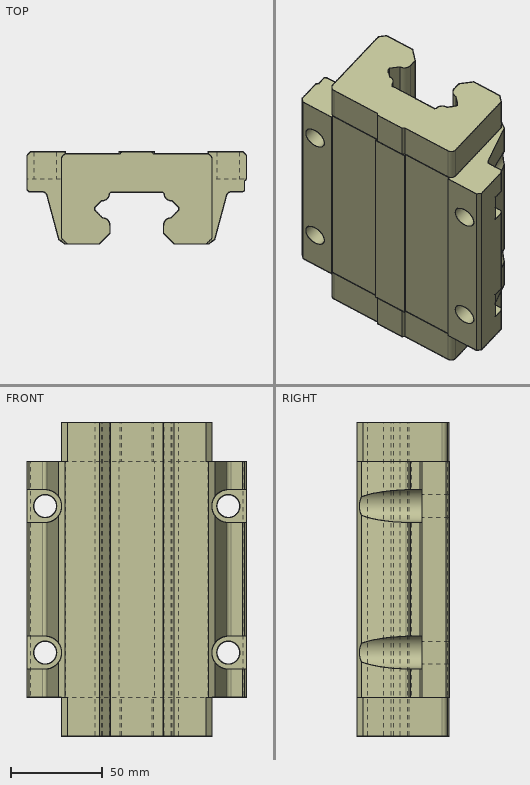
import cadquery as cq
import math


BLOCK_WIDTH = 120.0
BLOCK_HEIGHT = 50.5
TOTAL_LENGTH = 171.5
BODY_LENGTH = 128.8

HALF_WIDTH = BLOCK_WIDTH / 2
FLANGE_THICKNESS = 22.0
FLANGE_TOP_CHAMFER = 2.0
LEFT_FLANGE_CHAMFER = 1.2
RIGHT_FLANGE_CHAMFER_WIDTH = 1.2
RIGHT_FLANGE_CHAMFER_HEIGHT = 0.6
RIGHT_SIDE_SETBACK = 1.1
LEG_TOP_HALF_WIDTH = 49.6
LEG_BOTTOM_HALF_WIDTH = 42.6
LEG_FOOT_HALF_WIDTH = 39.2
LEG_CHAMFER_HEIGHT = 2.5
LEG_ROOT_RADIUS = 2.5

RELIEF_DEPTH = 1.0
CENTRE_PAD_HALF_WIDTH = 9.7
SIDE_PAD_INNER_X = 38.9

CAP_HALF_WIDTH = 41.1
CAP_TOP_DEPTH = 1.2
CAP_TOP_RADIUS = 3.0
CAP_FOOT_CHAMFER = 3.2
CAP_RIDGE_DEPTH = 0.2
CAP_RIDGE_BASE_HALF_WIDTH = 9.2
CAP_RIDGE_TOP_HALF_WIDTH = CAP_RIDGE_BASE_HALF_WIDTH - (CAP_TOP_DEPTH - CAP_RIDGE_DEPTH)

CHANNEL_TOP_DEPTH = 22.2
CHANNEL_TOP_BEVEL = 0.7
THROAT_HALF_WIDTH = 14.9
THROAT_RADIUS = 4.0
SHOULDER_DEPTH = 26.9
SHOULDER_END_HALF_WIDTH = 19.2
GROOVE_HALF_WIDTH = 22.8
GROOVE_TOP_DEPTH = 30.5
GROOVE_BOTTOM_DEPTH = 32.0
LIP_TOP_DEPTH = 36.1
LIP_HALF_WIDTH = 14.6
LIP_RADIUS = 4.1
MOUTH_CHAMFER = 5.8

HOLE_SPACING_X = 100.0
HOLE_SPACING_Z = 80.0
HOLE_DIAMETER = 12.4
SEAT_RADIUS = 9.0
SEAT_DEPTH = 15.0

CUT_MARGIN = 1.0


def mirror_points(points):
    """Mirror an outline about X = 0, keeping its sense of travel."""
    return [(-x, y) for x, y in reversed(points)]


def box_between(x_min, x_max, y_min, y_max, length):
    """Box spanning the given X and Y ranges, centred on Z = 0."""
    return (
        cq.Workplane("XY")
        .box(x_max - x_min, y_max - y_min, length)
        .translate(((x_min + x_max) / 2, (y_min + y_max) / 2, 0))
    )


def extrude_centred(outline, length):
    """Extrude a closed XY outline equally to both sides of Z = 0."""
    return outline.extrude(length / 2, both=True)


def make_body():
    """Flanged body with sloping legs and three raised mounting pads."""
    leg = [
        (LEG_TOP_HALF_WIDTH, -FLANGE_THICKNESS),
        (LEG_BOTTOM_HALF_WIDTH, LEG_CHAMFER_HEIGHT - BLOCK_HEIGHT),
        (LEG_FOOT_HALF_WIDTH, -BLOCK_HEIGHT),
    ]
    flange_top = [
        (HALF_WIDTH - FLANGE_TOP_CHAMFER, 0),
        (HALF_WIDTH, -FLANGE_TOP_CHAMFER),
    ]
    setback_x = HALF_WIDTH - RIGHT_SIDE_SETBACK
    right_flange_bottom = [
        (HALF_WIDTH, -SEAT_DEPTH),
        (setback_x, -SEAT_DEPTH - RIGHT_SIDE_SETBACK),
        (setback_x, RIGHT_FLANGE_CHAMFER_HEIGHT - FLANGE_THICKNESS),
        (setback_x - RIGHT_FLANGE_CHAMFER_WIDTH, -FLANGE_THICKNESS),
    ]
    mirrored_left_flange_bottom = [
        (HALF_WIDTH, LEFT_FLANGE_CHAMFER - FLANGE_THICKNESS),
        (HALF_WIDTH - LEFT_FLANGE_CHAMFER, -FLANGE_THICKNESS),
    ]
    right_side = flange_top + right_flange_bottom + leg
    left_side = mirror_points(flange_top + mirrored_left_flange_bottom + leg)
    body = extrude_centred(cq.Workplane("XY").polyline(right_side + left_side).close(), BODY_LENGTH)
    for x in (-LEG_TOP_HALF_WIDTH, LEG_TOP_HALF_WIDTH):
        root = cq.selectors.NearestToPointSelector((x, -FLANGE_THICKNESS, 0))
        body = body.edges("|Z").edges(root).fillet(LEG_ROOT_RADIUS)

    relief = box_between(CENTRE_PAD_HALF_WIDTH, SIDE_PAD_INNER_X, -RELIEF_DEPTH, CUT_MARGIN, BODY_LENGTH)
    return body.cut(relief).cut(relief.mirror("YZ"))


def make_cap_core():
    """Full-length block whose two ends form the end caps."""
    right_side = [
        (CAP_HALF_WIDTH, -CAP_TOP_DEPTH),
        (CAP_HALF_WIDTH, CAP_FOOT_CHAMFER - BLOCK_HEIGHT),
        (CAP_HALF_WIDTH - CAP_FOOT_CHAMFER, -BLOCK_HEIGHT),
    ]
    left_side = mirror_points(right_side)
    core = extrude_centred(cq.Workplane("XY").polyline(right_side + left_side).close(), TOTAL_LENGTH)
    core = core.faces(">Y").edges("|Z").fillet(CAP_TOP_RADIUS)
    ridge_outline = cq.Workplane("XY").polyline(
        [
            (-CAP_RIDGE_BASE_HALF_WIDTH, -CAP_TOP_DEPTH),
            (-CAP_RIDGE_TOP_HALF_WIDTH, -CAP_RIDGE_DEPTH),
            (CAP_RIDGE_TOP_HALF_WIDTH, -CAP_RIDGE_DEPTH),
            (CAP_RIDGE_BASE_HALF_WIDTH, -CAP_TOP_DEPTH),
        ]
    ).close()
    return core.union(extrude_centred(ridge_outline, TOTAL_LENGTH))


def make_channel():
    """Rail channel with a rounded throat and lip, built as a right half and mirrored."""
    arc_mid_factor = 1 - math.sqrt(0.5)
    throat_mid = THROAT_RADIUS * arc_mid_factor
    lip_mid = LIP_RADIUS * arc_mid_factor
    half_outline = (
        cq.Workplane("XY")
        .moveTo(0, -CHANNEL_TOP_DEPTH)
        .lineTo(THROAT_HALF_WIDTH - CHANNEL_TOP_BEVEL, -CHANNEL_TOP_DEPTH)
        .lineTo(THROAT_HALF_WIDTH, THROAT_RADIUS - SHOULDER_DEPTH)
        .threePointArc(
            (THROAT_HALF_WIDTH + throat_mid, throat_mid - SHOULDER_DEPTH),
            (THROAT_HALF_WIDTH + THROAT_RADIUS, -SHOULDER_DEPTH),
        )
        .lineTo(SHOULDER_END_HALF_WIDTH, -SHOULDER_DEPTH)
        .lineTo(GROOVE_HALF_WIDTH, -GROOVE_TOP_DEPTH)
        .lineTo(GROOVE_HALF_WIDTH, -GROOVE_BOTTOM_DEPTH)
        .lineTo(LIP_HALF_WIDTH + LIP_RADIUS, -LIP_TOP_DEPTH)
        .threePointArc(
            (LIP_HALF_WIDTH + lip_mid, -LIP_TOP_DEPTH - lip_mid),
            (LIP_HALF_WIDTH, -LIP_TOP_DEPTH - LIP_RADIUS),
        )
        .lineTo(LIP_HALF_WIDTH, MOUTH_CHAMFER - BLOCK_HEIGHT)
        .lineTo(LIP_HALF_WIDTH + MOUTH_CHAMFER, -BLOCK_HEIGHT)
        .lineTo(0, -BLOCK_HEIGHT)
        .close()
    )
    half_channel = extrude_centred(half_outline, TOTAL_LENGTH)
    return half_channel.union(half_channel.mirror("YZ"))


def make_mounting_hole(side, z):
    """Through hole with a flat bolt seat that opens out to the flange side."""
    hole_x = side * HOLE_SPACING_X / 2
    hole = (
        cq.Workplane("XZ", origin=(hole_x, 0, z))
        .circle(HOLE_DIAMETER / 2)
        .extrude(BLOCK_HEIGHT)
    )
    bolt_seat = (
        cq.Workplane("XZ", origin=(hole_x, -SEAT_DEPTH, z))
        .circle(SEAT_RADIUS)
        .extrude(BLOCK_HEIGHT)
    )
    outer_x = side * (HALF_WIDTH + CUT_MARGIN)
    opening = box_between(
        min(hole_x, outer_x),
        max(hole_x, outer_x),
        -BLOCK_HEIGHT,
        -SEAT_DEPTH,
        2 * SEAT_RADIUS,
    ).translate((0, 0, z))
    return hole.union(bolt_seat).union(opening)


result = make_body().union(make_cap_core()).cut(make_channel())
for side in (-1, 1):
    for z in (-HOLE_SPACING_Z / 2, HOLE_SPACING_Z / 2):
        result = result.cut(make_mounting_hole(side, z))